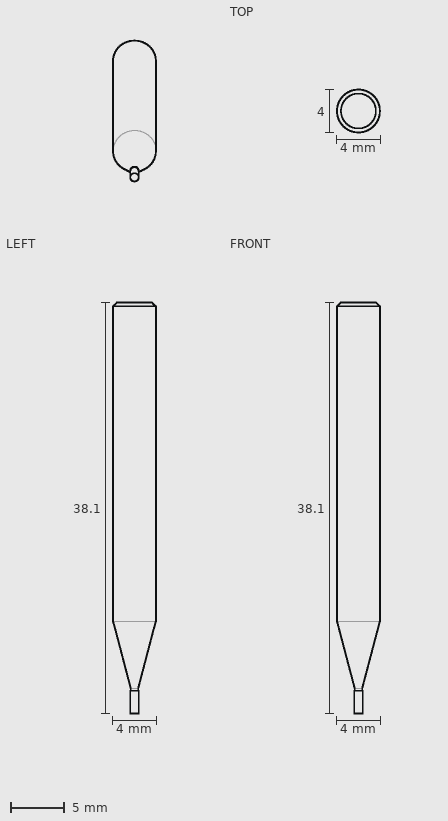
import cadquery as cq

TOTAL_LENGTH = 38.1
SHANK_DIAMETER = 4.0
SHANK_CHAMFER = 0.4
TIP_DIAMETER = 0.8
NECK_DIAMETER = 0.72
TIP_LENGTH = 2.15
NECK_LENGTH = 0.23
CONE_LENGTH = 6.2

SHANK_RADIUS = SHANK_DIAMETER / 2
TIP_RADIUS = TIP_DIAMETER / 2
NECK_RADIUS = NECK_DIAMETER / 2
BOTTOM_Z = -TOTAL_LENGTH / 2
TOP_Z = BOTTOM_Z + TOTAL_LENGTH
NECK_BOTTOM_Z = BOTTOM_Z + TIP_LENGTH
CONE_BOTTOM_Z = NECK_BOTTOM_Z + NECK_LENGTH
CONE_TOP_Z = CONE_BOTTOM_Z + CONE_LENGTH


def make_shank():
    """Round shank with a chamfered top end, a cone and a short neck, turned about Z."""
    half_profile = (
        cq.Workplane("XZ")
        .moveTo(0, NECK_BOTTOM_Z)
        .lineTo(NECK_RADIUS, NECK_BOTTOM_Z)
        .lineTo(NECK_RADIUS, CONE_BOTTOM_Z)
        .lineTo(SHANK_RADIUS, CONE_TOP_Z)
        .lineTo(SHANK_RADIUS, TOP_Z - SHANK_CHAMFER)
        .lineTo(SHANK_RADIUS - SHANK_CHAMFER, TOP_Z)
        .lineTo(0, TOP_Z)
        .close()
    )
    return half_profile.revolve(360, (0, 0, 0), (0, 1, 0))


def make_cutting_tip():
    """Plain cylinder that is slightly wider than the neck and meets the flat lower end of the neck."""
    return cq.Workplane("XY", origin=(0, 0, BOTTOM_Z)).circle(TIP_RADIUS).extrude(TIP_LENGTH)


shank = make_shank()
cutting_tip = make_cutting_tip()

result = cq.Compound.makeCompound([shank.val(), cutting_tip.val()])